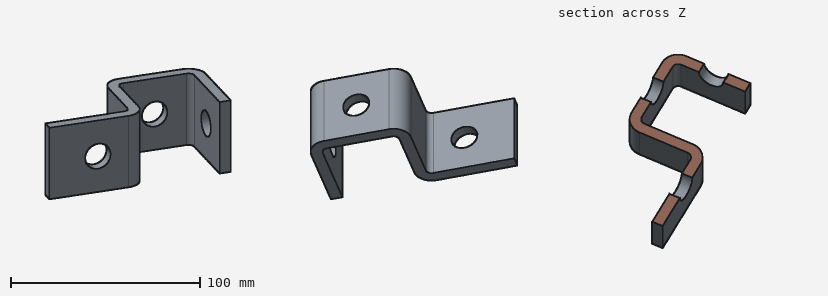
import cadquery as cq

thickness = 6.35
strip_width = 41.275
flange_reach = 47.625
channel_width = 54.765
hole_pitch = 47.625
hole_diameter = 14.29
inner_bend_radius = 3.175

outer_bend_radius = inner_bend_radius + thickness
hole_offset = channel_width / 2
overall_length = channel_width + hole_pitch
channel_front = overall_length - channel_width
tab_inner_x = flange_reach - thickness
mid_height = strip_width / 2


def make_strip():
    """Sharp-cornered strip: back flange, web, middle flange and tab, extruded along Z."""
    outline = [
        (flange_reach, overall_length),
        (0, overall_length),
        (0, channel_front),
        (tab_inner_x, channel_front),
        (tab_inner_x, 0),
        (flange_reach, 0),
        (flange_reach, channel_front + thickness),
        (thickness, channel_front + thickness),
        (thickness, overall_length - thickness),
        (flange_reach, overall_length - thickness),
    ]
    return cq.Workplane("XY").polyline(outline).close().extrude(strip_width)


def round_bend(body, outer_corner, inner_corner):
    """Round both sides of one 90 degree bend about a common axis."""
    bend_sides = ((outer_corner, outer_bend_radius), (inner_corner, inner_bend_radius))
    for (x, y), radius in bend_sides:
        edge = cq.selectors.NearestToPointSelector((x, y, mid_height))
        body = body.edges("|Z").edges(edge).fillet(radius)
    return body


def drill(body, start, direction):
    """Cut a through hole one strip thickness deep, from a point on the strip's face."""
    cutter = cq.Solid.makeCylinder(
        hole_diameter / 2, thickness, cq.Vector(*start), cq.Vector(*direction)
    )
    return body.cut(cq.Workplane(cutter))


bracket = make_strip()

bracket = round_bend(bracket, (0, overall_length), (thickness, overall_length - thickness))
bracket = round_bend(bracket, (0, channel_front), (thickness, channel_front + thickness))
bracket = round_bend(bracket, (flange_reach, channel_front + thickness), (tab_inner_x, channel_front))

web_hole_y = overall_length - hole_offset
tab_hole_y = web_hole_y - hole_pitch
bracket = drill(bracket, (0, web_hole_y, mid_height), (1, 0, 0))
bracket = drill(bracket, (tab_inner_x, tab_hole_y, mid_height), (1, 0, 0))
bracket = drill(bracket, (hole_offset, overall_length - thickness, mid_height), (0, 1, 0))

result = bracket